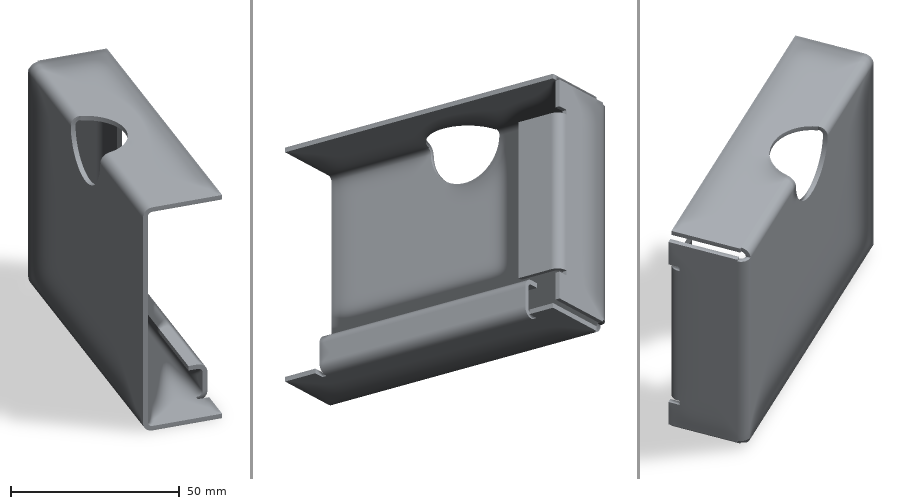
import cadquery as cq

length = 100.0
depth = 25.0
height = 75.0

thickness = 1.5
bend_radius = 3.0
inner_radius = bend_radius - thickness

wall_start = 2.4
side_wall_inset = 2.4

side_flange_width = 15.0
flange_end_inset = 12.5
hook_width = 12.3
hook_lip = 6.0
relief_width = 1.5
relief_depth = 3.6

cutout_radius = 12.5
cutout_x = 51.3
cutout_drop = 2.7


def block(x0, x1, y0, y1, z0, z1):
    """Box between the given limits on each axis."""
    return cq.Workplane("XY").box(x1 - x0, y1 - y0, z1 - z0, centered=False).translate((x0, y0, z0))


def make_front_and_long_walls():
    """Front plate with the top and bottom walls; the bends stop short of the left wall."""
    outer = block(wall_start, length, 0, depth, 0, height).edges("|X and <Y").fillet(bend_radius)
    inner = block(0, length, thickness, depth, thickness, height - thickness)
    inner = inner.edges("|X and <Y").fillet(inner_radius)
    corner = block(0, bend_radius, 0, bend_radius, 0, height)
    return outer.cut(inner).cut(corner)


def make_left_wall():
    """Left wall with its front bend, running up to the front plate."""
    bottom = side_wall_inset
    top = height - side_wall_inset
    outer = block(0, 2 * bend_radius, 0, depth, bottom, top)
    outer = outer.edges("|Z and <X and <Y").fillet(bend_radius)
    inner = block(thickness, 2 * bend_radius, thickness, depth, 0, height)
    inner = inner.edges("|Z and <X and <Y").fillet(inner_radius)
    beyond_bend = block(bend_radius, length, 0, depth, 0, height)
    wall = outer.cut(inner).cut(beyond_bend)
    bend_zone = block(0, bend_radius, 0, bend_radius, 0, height)
    bend_span = block(0, bend_radius, 0, bend_radius, bend_radius, height - bend_radius)
    return wall.cut(bend_zone.cut(bend_span))


def make_side_flange():
    """Flat rear flange bent off the left wall, centred along its height."""
    bottom = flange_end_inset
    top = height - flange_end_inset
    rear_face = depth - thickness
    outer = block(0, side_flange_width, depth - 2 * bend_radius, depth, bottom, top)
    outer = outer.edges("|Z and >Y and <X").fillet(bend_radius)
    inner = block(thickness, side_flange_width, 0, rear_face, bottom, top)
    inner = inner.edges("|Z and >Y and <X").fillet(inner_radius)
    return outer.cut(inner)


def make_bottom_hook():
    """Rear flange bent up from the bottom wall, ending in a lip folded forward."""
    left = flange_end_inset
    right = length - flange_end_inset
    outer = block(left, right, depth - hook_lip, depth, 0, hook_width)
    outer = outer.edges("|X and >Y").fillet(bend_radius)
    inner = block(left, right, 0, depth - thickness, thickness, hook_width - thickness)
    inner = inner.edges("|X and >Y").fillet(inner_radius)
    return outer.cut(inner)


def make_flange_relief(wall_length):
    """Cut for a flange on a wall along +Z: end slots, plus the wall edge that its bend replaces."""
    start = flange_end_inset
    end = wall_length - flange_end_inset
    slots_start = start - relief_width
    slots_end = end + relief_width
    slots = block(0, thickness, depth - relief_depth, depth, slots_start, slots_end)
    kept_wall = block(0, thickness, 0, depth - bend_radius, start, end)
    return slots.cut(kept_wall)


def make_cutout():
    """Round holes through the front plate and the top wall, meeting across their shared bend."""
    front = cq.Workplane("XZ").center(cutout_x, height - cutout_drop).circle(cutout_radius)
    front = front.extrude(-bend_radius)
    top = cq.Workplane("XY", origin=(cutout_x, 0, height - bend_radius)).circle(cutout_radius)
    return front.union(top.extrude(bend_radius))


bottom_relief = make_flange_relief(length).rotate((0, 0, 0), (0, 1, 0), 90).translate((0, 0, thickness))

result = (
    make_front_and_long_walls()
    .cut(bottom_relief)
    .union(make_left_wall().cut(make_flange_relief(height)))
    .union(make_side_flange())
    .union(make_bottom_hook())
    .cut(make_cutout())
)